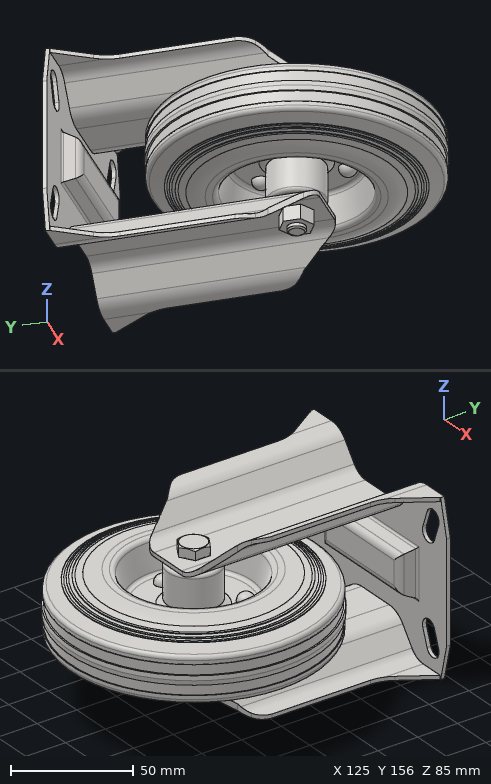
import cadquery as cq
import math


sheet = 2.0

mount_y = 93.5
arm_end_y = -13.0
flange_z = 42.5
web_z = 25.5
web_half = 9.65
bend_inner = 10.0
bend_outer = bend_inner + sheet
bend_angle = math.radians(52.4)
flange_half = 45.8

arm_half = 32.4
flare_angle = math.radians(33)
flare_radius = 19.0
flare_start_y = 65.7
toe_flat = 10.3
toe_round_end = (17.5, -8.4)
toe_chamfer_end = (24.7, 4.45)
shoulder_start = (28.7, 8.6)
shoulder_end_y = 16.2

plate_half = 50.0
plate_corner_z = 25.0
slot_x, slot_z = 38.8, 26.2
slot_width = 8.5
slot_travel = 8.6
slot_angle = 110.0
pad_x, pad_z = 59.4, 23.8
pad_height = 7.6
pad_draft = 24.0
pad_round = 4.0
pad_base_fillet = 1.3

tyre_radius = 62.5
rim_radius = 45.4
bead_z = 18.0
bead_edge_z = 16.1
bead_crest = (38.5, 18.05)
well_flat_outer = 75.0 / 2
well_top = 65.0 / 2
well_bottom = 28.7
well_lip_round = 2.5
well_floor_round = 2.0
disc_half = 2.0
boss_radius = 15.5
boss_z = 4.8
hub_radius = 25.4 / 2
hub_face_radius = 21.9 / 2
hub_half = 22.0
spacer_radius = 15.0 / 2
spacer_half = web_z - sheet
rivet_count = 3
rivet_circle = 21.5
first_rivet_angle = 60.0
rivet_radius = 4.0

wall_edge = (60.4, 11.2)
tread_edge = (62.0, 9.1)
groove_radius = 61.5
groove_outer_z = 7.2
groove_inner_z = 2.2
ridge_edge_radius = 62.3
side_steps = [(48.6, 49.8), (51.2, 52.2), (53.2, 54.2)]

bolt_radius = 4.0
bolt_length = 60.0
tip_chamfer_radius = 6.65 / 2
hex_flats = 13.0
hex_corner_radius = hex_flats / 2 / math.cos(math.pi / 6)
washer_face_radius = 11.47 / 2
washer_face = 0.4
head_top_radius = 6.2
head_chamfer_angle = math.radians(30)
head_height = 5.3
nut_height = 6.8


def on_circle(centre, radius, angle):
    return (centre[0] + radius * math.cos(angle), centre[1] + radius * math.sin(angle))


slope_rise = flange_z - web_z - (bend_inner + bend_outer) * (1 - math.cos(bend_angle))
slope_run = slope_rise / math.tan(bend_angle)
crest_x = web_half + (bend_inner + bend_outer) * math.sin(bend_angle) + slope_run
valley_centre = (web_half, web_z + bend_inner)
crest_centre = (crest_x, flange_z - bend_outer)


def bend_arc(centre, radius, middle, end):
    return on_circle(centre, radius, middle), on_circle(centre, radius, end)


def outer_edge(sketch):
    """Right half of the outer sheet surface, from the middle of the web to the flange end."""
    down, up = -math.pi / 2, math.pi / 2
    return (
        sketch.lineTo(web_half, web_z)
        .threePointArc(*bend_arc(valley_centre, bend_inner, down + bend_angle / 2, down + bend_angle))
        .lineTo(*on_circle(crest_centre, bend_outer, up + bend_angle))
        .threePointArc(*bend_arc(crest_centre, bend_outer, up + bend_angle / 2, up))
        .lineTo(flange_half, flange_z)
    )


def inner_edge(sketch):
    """Right half of the inner sheet surface, from the flange end back to the middle of the web."""
    down, up = -math.pi / 2, math.pi / 2
    return (
        sketch.lineTo(flange_half, flange_z - sheet)
        .lineTo(crest_x, flange_z - sheet)
        .threePointArc(*bend_arc(crest_centre, bend_inner, up + bend_angle / 2, up + bend_angle))
        .lineTo(*on_circle(valley_centre, bend_outer, down + bend_angle))
        .threePointArc(*bend_arc(valley_centre, bend_outer, down + bend_angle / 2, down))
        .lineTo(0, web_z - sheet)
    )


def arm_outline():
    """Right half of the arm outline, as a block that trims the bent sheet."""
    flare_dx = flare_radius * (1 - math.cos(flare_angle))
    flare_end = (arm_half + flare_dx, flare_start_y + flare_radius * math.sin(flare_angle))
    flare_tip_y = flare_end[1] + (flange_half - flare_end[0]) / math.tan(flare_angle)
    return (
        cq.Workplane("XY")
        .moveTo(0, arm_end_y)
        .lineTo(toe_flat, arm_end_y)
        .tangentArcPoint(toe_round_end, relative=False)
        .lineTo(*toe_chamfer_end)
        .lineTo(*shoulder_start)
        .tangentArcPoint((arm_half, shoulder_end_y), relative=False)
        .lineTo(arm_half, flare_start_y)
        .tangentArcPoint(flare_end, relative=False)
        .lineTo(flange_half, flare_tip_y)
        .lineTo(flange_half, mount_y)
        .lineTo(0, mount_y)
        .close()
        .extrude(flange_z)
    )


def make_arm():
    start = cq.Workplane("XZ", origin=(0, arm_end_y, 0)).moveTo(0, web_z)
    bent_sheet = inner_edge(outer_edge(start)).close().extrude(arm_end_y - mount_y)
    half = bent_sheet.intersect(arm_outline())
    return half.union(half.mirror("YZ"))


def make_plate():
    quarter = (
        outer_edge(cq.Workplane("XZ", origin=(0, mount_y, 0)).lineTo(0, web_z))
        .lineTo(plate_half, plate_corner_z)
        .lineTo(plate_half, 0)
        .close()
        .extrude(sheet)
    )
    half = quarter.union(quarter.mirror("YZ"))
    plate = half.union(half.mirror("XY"))
    for side_x in (-1, 1):
        for side_z in (-1, 1):
            slot = (
                cq.Workplane("XZ", origin=(side_x * slot_x, mount_y, side_z * slot_z))
                .slot2D(slot_travel + slot_width, slot_width, -side_x * side_z * slot_angle)
                .extrude(sheet)
            )
            plate = plate.cut(slot)
    return plate


def add_pad(plate):
    """Raise a tapered pad on the wheel side of the plate."""
    face_y = mount_y - sheet
    pad = (
        cq.Workplane("XZ", origin=(0, face_y, 0))
        .rect(pad_x, pad_z)
        .extrude(pad_height, taper=pad_draft)
        .faces("<Y")
        .edges()
        .fillet(pad_round)
    )
    margin = 0.1
    base_corner = (pad_x / 2 + margin, face_y + margin, pad_z / 2 + margin)
    opposite_corner = (-base_corner[0], face_y - margin, -base_corner[2])
    base_edges = cq.selectors.BoxSelector(base_corner, opposite_corner, boundingbox=True)
    return plate.union(pad).edges(base_edges).fillet(pad_base_fillet)


arm = make_arm()
bolt_hole = cq.Workplane("XY").circle(bolt_radius).extrude(flange_z, both=True)
fork = add_pad(make_plate()).union(arm).union(arm.mirror("XY")).cut(bolt_hole)


def revolve(half_section):
    return half_section.close().revolve(360, (0, 0, 0), (0, 1, 0))


def fillet_circle(body, radius, z, size):
    """Round the circular edge about Z that has this radius and height."""
    tolerance = 0.01
    edges = [
        edge for edge in body.edges("%CIRCLE").vals()
        if abs(edge.radius() - radius) < tolerance and abs(edge.Center().z - z) < tolerance
    ]
    return body.newObject(edges).fillet(size)


def make_rim():
    """Pressed rim with its riveted disc, hub and spacer ends."""
    upper = revolve(
        cq.Workplane("XZ")
        .moveTo(bolt_radius, 0)
        .lineTo(rim_radius, 0)
        .lineTo(rim_radius, bead_edge_z)
        .threePointArc(bead_crest, (well_flat_outer, bead_z))
        .lineTo(well_top, bead_z)
        .lineTo(well_bottom, disc_half)
        .lineTo(boss_radius, disc_half)
        .lineTo(hub_radius, boss_z)
        .lineTo(hub_radius, hub_half)
        .lineTo(spacer_radius, hub_half)
        .lineTo(spacer_radius, spacer_half)
        .lineTo(bolt_radius, spacer_half)
    )
    upper = fillet_circle(upper, well_top, bead_z, well_lip_round)
    upper = fillet_circle(upper, well_bottom, disc_half, well_floor_round)
    upper = fillet_circle(upper, hub_radius, hub_half, hub_radius - hub_face_radius)
    rivets = (
        cq.Workplane("XY", origin=(0, 0, disc_half))
        .polarArray(rivet_circle, first_rivet_angle, 360, rivet_count)
        .sphere(rivet_radius)
    )
    upper = upper.union(rivets)
    return upper.union(upper.mirror("XY"))


def side_wall_z(radius):
    """Height of the sloping side wall of the tyre at a radius."""
    slope = (wall_edge[1] - bead_edge_z) / (wall_edge[0] - rim_radius)
    return bead_edge_z + slope * (radius - rim_radius)


def make_tyre():
    section = (
        cq.Workplane("XZ")
        .moveTo(rim_radius, 0)
        .lineTo(tyre_radius, 0)
        .lineTo(ridge_edge_radius, groove_inner_z)
        .lineTo(groove_radius, groove_inner_z)
        .lineTo(groove_radius, groove_outer_z)
        .lineTo(tread_edge[0], groove_outer_z)
        .lineTo(*tread_edge)
        .tangentArcPoint(wall_edge, relative=False)
    )
    for inner, outer in reversed(side_steps):
        section = (
            section.lineTo(outer, side_wall_z(outer))
            .lineTo(outer, side_wall_z(inner))
            .lineTo(inner, side_wall_z(inner))
        )
    upper = revolve(section.lineTo(rim_radius, bead_edge_z))
    return upper.union(upper.mirror("XY"))


rim = make_rim()
tyre = make_tyre()


def hexagon(z, height):
    """Hexagonal prism with flats facing +X and -X."""
    return (
        cq.Workplane("XY", origin=(0, 0, z))
        .transformed(rotate=(0, 0, 90))
        .polygon(6, 2 * hex_corner_radius)
        .extrude(height)
    )


def make_bolt():
    tip_z = web_z - bolt_length
    shank = (
        cq.Workplane("XY", origin=(0, 0, tip_z))
        .circle(bolt_radius)
        .extrude(bolt_length)
        .faces("<Z")
        .chamfer(bolt_radius - tip_chamfer_radius)
    )
    head_base_z = web_z + washer_face
    head_top_z = web_z + head_height
    face = cq.Workplane("XY", origin=(0, 0, web_z)).circle(washer_face_radius).extrude(washer_face)
    chamfer_drop = (hex_corner_radius - head_top_radius) * math.tan(head_chamfer_angle)
    chamfered_blank = revolve(
        cq.Workplane("XZ")
        .moveTo(0, head_base_z)
        .lineTo(hex_corner_radius, head_base_z)
        .lineTo(hex_corner_radius, head_top_z - chamfer_drop)
        .lineTo(head_top_radius, head_top_z)
        .lineTo(0, head_top_z)
    )
    head = hexagon(head_base_z, head_top_z - head_base_z).intersect(chamfered_blank)
    return shank.union(face).union(head)


def make_nut():
    nut = hexagon(-web_z - nut_height, nut_height)
    return nut.cut(bolt_hole)


bolt = make_bolt()
nut = make_nut()

result = cq.Compound.makeCompound([fork.val(), rim.val(), tyre.val(), bolt.val(), nut.val()])